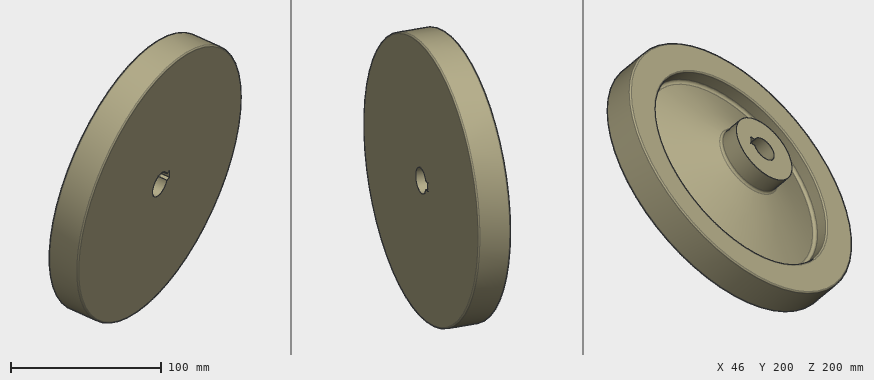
import cadquery as cq
import math

length = 46.0
wheel_radius = 200.0 / 2
rim_width = 23.5
rim_edge_radius = 1.0
hub_radius = 50.0 / 2
hub_length = 14.5
web_slope_angle = 21.0
recess_radius = 154.0 / 2
corner_radius = 2.0
bore_diameter = 18.0
key_width = 6.0
key_reach = 11.8

rim_face = length - rim_width
web_rise = math.tan(math.radians(web_slope_angle))
recess_floor = hub_length + (recess_radius - hub_radius) * web_rise


def wheel_body():
    """Revolve the half section: hub, conical web, recess and rim."""
    body = (
        cq.Workplane("XY")
        .moveTo(0, 0)
        .lineTo(0, hub_radius)
        .lineTo(hub_length, hub_radius)
        .lineTo(recess_floor, recess_radius)
        .lineTo(rim_face, recess_radius)
        .lineTo(rim_face, wheel_radius)
        .lineTo(length, wheel_radius)
        .lineTo(length, 0)
        .close()
        .revolve(360, (0, 0, 0), (1, 0, 0))
    )
    return body


def round_corners(body):
    """Round the rim edges, the recess mouth and the two inside corners of the web."""
    rim_edges = []
    web_corners = []
    for edge in body.edges("%CIRCLE").vals():
        x = edge.Center().x
        if math.isclose(edge.radius(), wheel_radius) or math.isclose(x, rim_face):
            rim_edges.append(edge)
        elif math.isclose(x, hub_length) or math.isclose(x, recess_floor):
            web_corners.append(edge)
    body = body.newObject(web_corners).fillet(corner_radius)
    return body.newObject(rim_edges).fillet(rim_edge_radius)


def keyed_bore():
    """Through bore with a keyway on its +Y side."""
    bore = cq.Workplane("YZ").circle(bore_diameter / 2).extrude(length)
    keyway = cq.Workplane("XY").box(length, key_reach, key_width, centered=(False, False, True))
    return bore.union(keyway)


result = round_corners(wheel_body()).cut(keyed_bore())